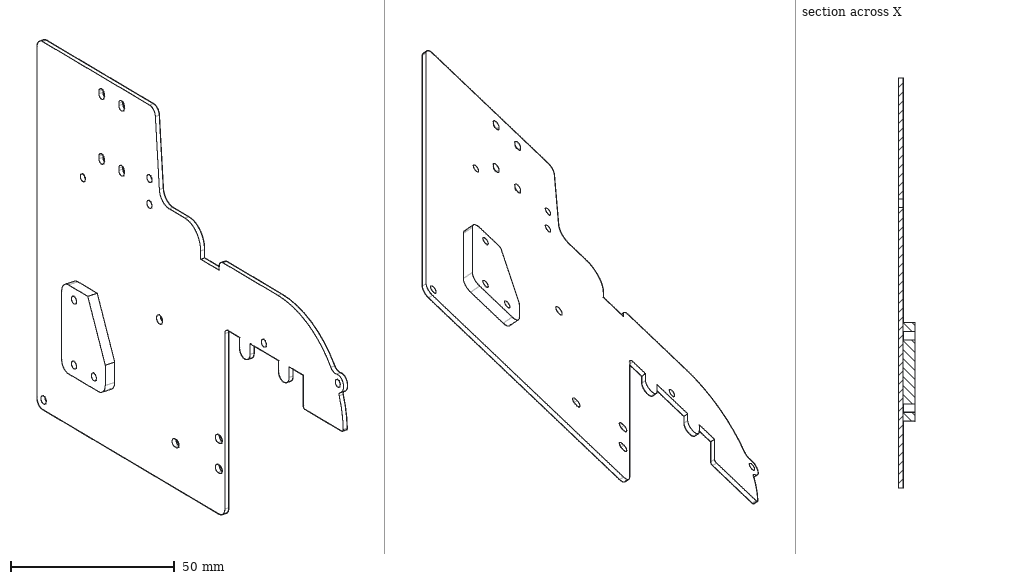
import cadquery as cq
import math

PLATE_THICKNESS = 1.5
BRACKET_THICKNESS = 3.6

PANEL_WIDTH = 96.0
PANEL_HEIGHT = 125.1
PANEL_CORNER_RADIUS = 3.0
TOP_EDGE_LENGTH = 60.3
SHOULDER_X = 63.0
SHOULDER_Z = 93.8
SHOULDER_INNER_RADIUS = 5.0
SHOULDER_OUTER_RADIUS = 8.0

NOTCH_LEFT = 83.6
NOTCH_RIGHT = 93.0
NOTCH_FLOOR_Z = 83.0
ARM_CORNER_RADIUS = 2.0
ARM_INNER_RADIUS = 1.5

ARM_TOP_Z = 86.3
ARM_BOTTOM_Z = 64.2
NOSE_RADIUS = 33.4
NOSE_CENTER_X = 123.1
NOSE_CENTER_Z = ARM_TOP_Z - NOSE_RADIUS
NOSE_TIP_X = NOSE_CENTER_X + NOSE_RADIUS
NOSE_LEFT = 136.0
NOSE_CORNER_RADIUS = 1.0

TAB_WIDTH = 5.5
TAB_BOTTOM_Z = 58.0
TAB_CENTERS_X = (106.2, 126.1)

EAR_RADIUS = 3.0
EAR_X = 156.6 - EAR_RADIUS
EAR_Z = 68.5
EAR_UPPER_FILLET_RADIUS = 3.0
EAR_LOWER_FILLET_RADIUS = 1.0

SMALL_HOLE_DIAMETER = 2.5
SMALL_HOLES = ((23.5, 87.0), (57.5, 100.1), (57.5, 91.3), (115.9, 67.2), (EAR_X, EAR_Z))
CORNER_HOLE_DIAMETER = 2.7
CORNER_HOLE = (3.5, 3.5)
CENTER_HOLE_DIAMETER = 3.0
CENTER_HOLE = (62.7, 54.2)

SLOT_WIDTH = 2.7
SLOT_LENGTH = 3.5
HOLE_PITCH_LONG = 22.1
HOLE_PITCH_SHORT = 10.2
UPPER_SLOT_X = 33.0
UPPER_SLOT_Z = 97.1
LOWER_SLOT_X = 92.9
LOWER_SLOT_Z = 15.3

BRACKET_LEFT = 17.5
BRACKET_BOTTOM = 20.4
BRACKET_WIDTH = 22.2
BRACKET_HEIGHT = 30.2
BRACKET_TOP_LENGTH = 13.3
BRACKET_SIDE_HEIGHT = 10.3
BRACKET_CORNER_RADIUS = 3.5
BRACKET_HOLE_INSET_X = 6.3
BRACKET_HOLE_INSET_Z = 4.0


def front_plane(y=0):
    """Sketch plane with local axes X and Z; extruding goes toward -Y."""
    return cq.Workplane("XZ", origin=(0, y, 0))


def round_corners(body, radius, corners):
    """Fillet the edges along Y that lie nearest to the given (x, z) corners."""
    middle_y = body.val().BoundingBox().center.y
    for x, z in corners:
        nearest = cq.selectors.NearestToPointSelector((x, middle_y, z))
        body = body.edges("|Y").edges(nearest).fillet(radius)
    return body


def drill(body, diameter, points):
    """Cut round through holes along Y."""
    cutter = front_plane().pushPoints(points).circle(diameter / 2)
    return body.cut(cutter.extrude(PLATE_THICKNESS))


def cut_slots(body, points, angle):
    """Cut round-ended through slots whose long axis is turned by angle from X."""
    cutter = front_plane().pushPoints(points).slot2D(SLOT_LENGTH, SLOT_WIDTH, angle)
    return body.cut(cutter.extrude(PLATE_THICKNESS))


def plate_blank():
    """Panel and arm in one outline, with the corners rounded."""
    diagonal = NOSE_RADIUS * math.sqrt(0.5)
    blank = (
        front_plane()
        .lineTo(0, PANEL_HEIGHT)
        .lineTo(TOP_EDGE_LENGTH, PANEL_HEIGHT)
        .lineTo(SHOULDER_X, SHOULDER_Z)
        .lineTo(NOTCH_LEFT, SHOULDER_Z)
        .lineTo(NOTCH_LEFT, NOTCH_FLOOR_Z)
        .lineTo(NOTCH_RIGHT, NOTCH_FLOOR_Z)
        .lineTo(NOTCH_RIGHT, ARM_TOP_Z)
        .lineTo(NOSE_CENTER_X, ARM_TOP_Z)
        .threePointArc(
            (NOSE_CENTER_X + diagonal, NOSE_CENTER_Z + diagonal),
            (NOSE_TIP_X, NOSE_CENTER_Z),
        )
        .lineTo(NOSE_LEFT, NOSE_CENTER_Z)
        .lineTo(NOSE_LEFT, ARM_BOTTOM_Z)
        .lineTo(PANEL_WIDTH, ARM_BOTTOM_Z)
        .lineTo(PANEL_WIDTH, 0)
        .close()
        .extrude(PLATE_THICKNESS)
    )
    panel_corners = ((0, 0), (0, PANEL_HEIGHT), (TOP_EDGE_LENGTH, PANEL_HEIGHT), (PANEL_WIDTH, 0))
    nose_corners = ((NOSE_LEFT, NOSE_CENTER_Z), (NOSE_TIP_X, NOSE_CENTER_Z))
    blank = round_corners(blank, PANEL_CORNER_RADIUS, panel_corners)
    blank = round_corners(blank, SHOULDER_INNER_RADIUS, ((SHOULDER_X, SHOULDER_Z),))
    blank = round_corners(blank, SHOULDER_OUTER_RADIUS, ((NOTCH_LEFT, SHOULDER_Z),))
    blank = round_corners(blank, ARM_CORNER_RADIUS, ((NOTCH_RIGHT, ARM_TOP_Z),))
    blank = round_corners(blank, ARM_INNER_RADIUS, ((PANEL_WIDTH, ARM_BOTTOM_Z),))
    return round_corners(blank, NOSE_CORNER_RADIUS, nose_corners)


def add_ear(body):
    """Add the round ear and blend it into the nose above and below."""
    ear = front_plane().center(EAR_X, EAR_Z).circle(EAR_RADIUS).extrude(PLATE_THICKNESS)
    upper_corner = (EAR_X - EAR_RADIUS, EAR_Z + EAR_RADIUS)
    lower_corner = (EAR_X, EAR_Z - EAR_RADIUS)
    body = round_corners(body.union(ear), EAR_UPPER_FILLET_RADIUS, (upper_corner,))
    return round_corners(body, EAR_LOWER_FILLET_RADIUS, (lower_corner,))


def add_tabs(body):
    """Add the tabs, each a short strip with a full-round lower end."""
    tab_radius = TAB_WIDTH / 2
    for x in TAB_CENTERS_X:
        tab = (
            front_plane()
            .moveTo(x - tab_radius, ARM_BOTTOM_Z)
            .lineTo(x - tab_radius, TAB_BOTTOM_Z + tab_radius)
            .threePointArc((x, TAB_BOTTOM_Z), (x + tab_radius, TAB_BOTTOM_Z + tab_radius))
            .lineTo(x + tab_radius, ARM_BOTTOM_Z)
            .close()
            .extrude(PLATE_THICKNESS)
        )
        body = body.union(tab)
    return body


def make_plate():
    """Thin plate with all of its holes and slots."""
    body = add_tabs(add_ear(plate_blank()))
    body = drill(body, SMALL_HOLE_DIAMETER, SMALL_HOLES)
    body = drill(body, CORNER_HOLE_DIAMETER, [CORNER_HOLE])
    body = drill(body, CENTER_HOLE_DIAMETER, [CENTER_HOLE])

    upright_slots = [
        (UPPER_SLOT_X + dx, UPPER_SLOT_Z + dz)
        for dx in (0, HOLE_PITCH_SHORT)
        for dz in (0, HOLE_PITCH_LONG)
    ]
    level_slots = [
        (LOWER_SLOT_X, LOWER_SLOT_Z),
        (LOWER_SLOT_X, LOWER_SLOT_Z + HOLE_PITCH_SHORT),
        (LOWER_SLOT_X - HOLE_PITCH_LONG, LOWER_SLOT_Z),
    ]
    body = cut_slots(body, upright_slots, 90)
    return cut_slots(body, level_slots, 0)


def make_bracket():
    """Bracket seated on the front face of the plate, with three through holes."""
    right = BRACKET_LEFT + BRACKET_WIDTH
    top = BRACKET_BOTTOM + BRACKET_HEIGHT
    body = (
        front_plane(-PLATE_THICKNESS)
        .moveTo(BRACKET_LEFT, BRACKET_BOTTOM)
        .lineTo(BRACKET_LEFT, top)
        .lineTo(BRACKET_LEFT + BRACKET_TOP_LENGTH, top)
        .lineTo(right, BRACKET_BOTTOM + BRACKET_SIDE_HEIGHT)
        .lineTo(right, BRACKET_BOTTOM)
        .close()
        .extrude(BRACKET_THICKNESS)
    )
    rounded = ((BRACKET_LEFT, BRACKET_BOTTOM), (BRACKET_LEFT, top), (right, BRACKET_BOTTOM))
    body = round_corners(body, BRACKET_CORNER_RADIUS, rounded)

    hole_x = BRACKET_LEFT + BRACKET_HOLE_INSET_X
    hole_z = BRACKET_BOTTOM + BRACKET_HOLE_INSET_Z
    holes = [
        (hole_x, hole_z),
        (hole_x + HOLE_PITCH_SHORT, hole_z),
        (hole_x, hole_z + HOLE_PITCH_LONG),
    ]
    cutter = front_plane(-PLATE_THICKNESS).pushPoints(holes).circle(SMALL_HOLE_DIAMETER / 2)
    return body.cut(cutter.extrude(BRACKET_THICKNESS))


plate = make_plate()
bracket = make_bracket()

result = cq.Compound.makeCompound([plate.val(), bracket.val()])